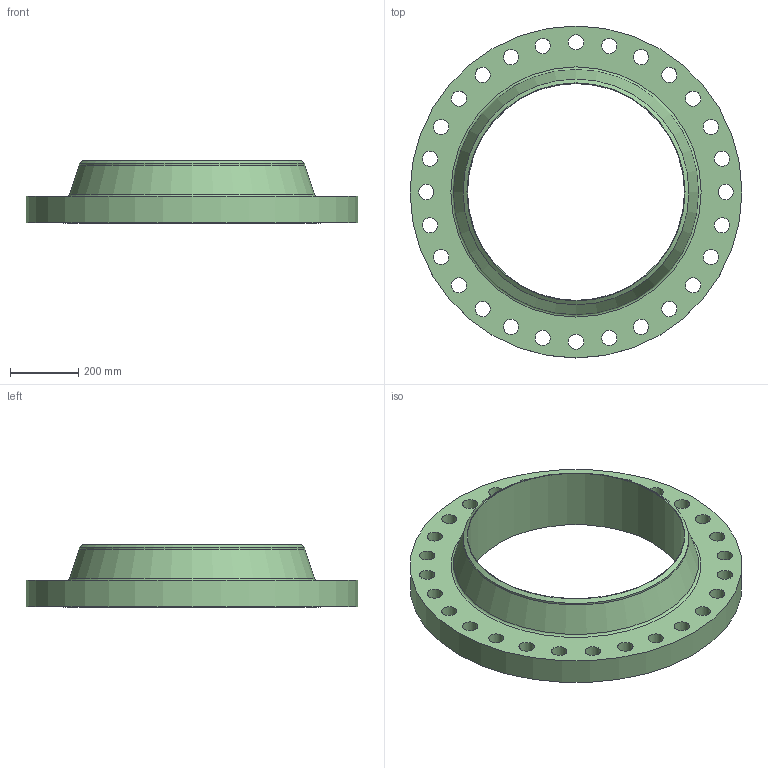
import cadquery as cq
import math


flange_diameter = 971.55
flange_top = 79.3
raised_face_diameter = 749.3
raised_face_height = 1.6

total_height = 184.23
bore_diameter = 635.0
pipe_diameter = 660.4
hub_base_diameter = 720.7
hub_fillet_radius = 8.0

land_width = 1.6
bevel_angle = 37.5
straight_length = 6.0

bolt_count = 28
bolt_circle_diameter = 876.3
bolt_hole_diameter = 44.5


def make_body():
    """Revolve the half section of the flange, with a sharp corner at the hub base."""
    bore_radius = bore_diameter / 2
    pipe_radius = pipe_diameter / 2
    land_radius = bore_radius + land_width
    bevel_height = (pipe_radius - land_radius) * math.tan(math.radians(bevel_angle))
    bevel_bottom = total_height - bevel_height
    cone_top = bevel_bottom - straight_length

    section = (
        cq.Workplane("XZ")
        .moveTo(bore_radius, 0)
        .lineTo(raised_face_diameter / 2, 0)
        .lineTo(raised_face_diameter / 2, raised_face_height)
        .lineTo(flange_diameter / 2, raised_face_height)
        .lineTo(flange_diameter / 2, flange_top)
        .lineTo(hub_base_diameter / 2, flange_top)
        .lineTo(pipe_radius, cone_top)
        .lineTo(pipe_radius, bevel_bottom)
        .lineTo(land_radius, total_height)
        .lineTo(bore_radius, total_height)
        .close()
    )
    return section.revolve(360, (0, 0, 0), (0, 1, 0))


def fillet_hub_base(body):
    """Round the inner corner where the cone meets the ring's upper face."""
    hub_base_radius = hub_base_diameter / 2
    margin = 1.0
    hub_base_edge = cq.selectors.BoxSelector(
        (-hub_base_radius - margin, -hub_base_radius - margin, flange_top - margin),
        (hub_base_radius + margin, hub_base_radius + margin, flange_top + margin),
        boundingbox=True,
    )
    return body.edges(hub_base_edge).fillet(hub_fillet_radius)


def cut_bolt_holes(body):
    """Drill the bolt circle through the ring, with the first hole on +X."""
    holes = (
        cq.Workplane("XY")
        .polarArray(bolt_circle_diameter / 2, 0, 360, bolt_count)
        .circle(bolt_hole_diameter / 2)
        .extrude(flange_top)
    )
    return body.cut(holes)


result = cut_bolt_holes(fillet_hub_base(make_body()))